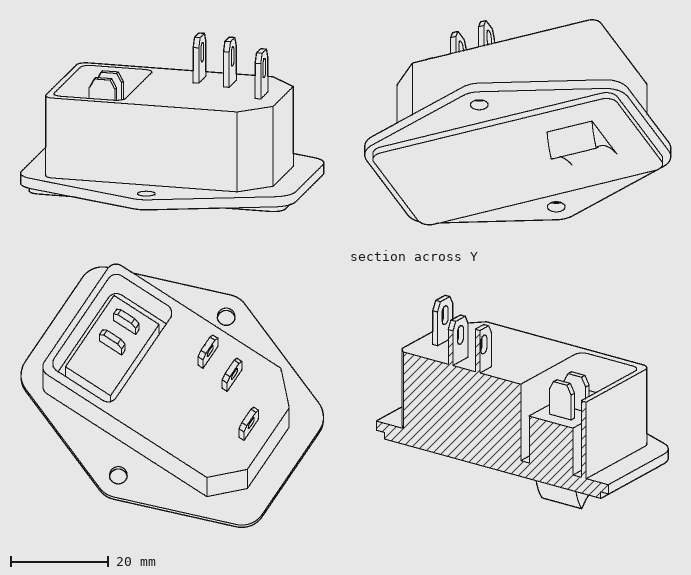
import cadquery as cq
import math


flange_length = 58.2
flange_width = 49.3
flange_thickness = 2.15
flange_corner_radius = 5.0
flange_slope = math.radians(20.5)
screw_hole_diameter = 3.6
screw_hole_spacing = 40.0

lip_length = 54.25
lip_width = 27.95
lip_thickness = 1.45
lip_corner_radius = 2.5

housing_length = 47.15
housing_width = 27.5
housing_height = 17.0
housing_corner_radius = 2.0
housing_chamfer = 6.0

switch_x = -14.7
pocket_length = 15.15
pocket_width = 24.0
pocket_corner_radius = 2.0
switch_body_length = 11.05
switch_body_width = 18.0
switch_body_recess = 6.6

rocker_length = 10.0
rocker_depth = 5.35
rocker_tip_y = 5.25
rocker_back_y = 7.45
rocker_back_bulge = 0.35
rocker_end_y = -5.4
rocker_face_middle = (-0.2, -1.4)

blade_width = 5.45
blade_thickness = 1.2
blade_tip_inset = 1.05
blade_tip_height = 1.9
inlet_blade_height = 9.4
inlet_blade_centers = [(3.65, 7.7), (10.5, 6.35), (19.05, -0.35)]
switch_blade_rise = 0.9
switch_blade_y = [5.2, 0.0]
eyelet_width = 2.1
eyelet_length = 4.0
eyelet_top_gap = 1.6

flange_top = lip_thickness + flange_thickness
housing_top = flange_top + housing_height
switch_body_top = housing_top - switch_body_recess


def make_flange():
    point_y = flange_width / 2 + flange_corner_radius * (1 / math.cos(flange_slope) - 1)
    side_x = flange_length / 2
    side_y = point_y - side_x * math.tan(flange_slope)
    corners = [
        (0, point_y),
        (side_x, side_y),
        (side_x, -side_y),
        (0, -point_y),
        (-side_x, -side_y),
        (-side_x, side_y),
    ]
    return (
        cq.Workplane("XY", origin=(0, 0, lip_thickness))
        .polyline(corners)
        .close()
        .extrude(flange_thickness)
        .edges("|Z")
        .fillet(flange_corner_radius)
        .faces(">Z")
        .workplane()
        .rarray(0.6, screw_hole_spacing, 1, 2)
        .hole(screw_hole_diameter)
    )


def make_lip():
    return (
        cq.Workplane("XY")
        .rect(lip_length, lip_width)
        .extrude(lip_thickness)
        .edges("|Z")
        .fillet(lip_corner_radius)
    )


def make_housing():
    housing = cq.Workplane("XY", origin=(0, 0, flange_top)).rect(housing_length, housing_width)
    housing = housing.extrude(housing_height)
    housing = housing.edges("|Z and <X").fillet(housing_corner_radius)
    housing = housing.edges("|Z and >X").chamfer(housing_chamfer)
    pocket = (
        cq.Workplane("XY", origin=(switch_x, 0, flange_top))
        .rect(pocket_length, pocket_width)
        .extrude(housing_height)
        .edges("|Z")
        .fillet(pocket_corner_radius)
    )
    return housing.cut(pocket)


def make_switch_body():
    return (
        cq.Workplane("XY", origin=(switch_x, 0, flange_top))
        .rect(switch_body_length, switch_body_width)
        .extrude(switch_body_top - flange_top)
    )


def make_rocker():
    tip = (rocker_tip_y, -rocker_depth)
    back = (rocker_back_y, 0)
    back_middle = ((rocker_tip_y + rocker_back_y) / 2 + rocker_back_bulge, -rocker_depth / 2)
    return (
        cq.Workplane("YZ", origin=(switch_x, 0, 0))
        .moveTo(rocker_end_y, 0)
        .threePointArc(rocker_face_middle, tip)
        .threePointArc(back_middle, back)
        .close()
        .extrude(rocker_length / 2, both=True)
    )


def make_blade(height):
    """Blade standing on the origin, wide along Y and thin along X, with a tapered tip."""
    half_width = blade_width / 2
    half_tip = half_width - blade_tip_inset
    shoulder = height - blade_tip_height
    outline = [
        (-half_width, 0),
        (half_width, 0),
        (half_width, shoulder),
        (half_tip, height),
        (-half_tip, height),
        (-half_width, shoulder),
    ]
    return cq.Workplane("YZ").polyline(outline).close().extrude(blade_thickness / 2, both=True)


def make_inlet_blade():
    eyelet_z = inlet_blade_height - eyelet_top_gap - eyelet_length / 2
    eyelet = (
        cq.Workplane("YZ", origin=(0, 0, eyelet_z))
        .slot2D(eyelet_length, eyelet_width, 90)
        .extrude(blade_thickness, both=True)
    )
    return make_blade(inlet_blade_height).cut(eyelet)


def make_switch_blade():
    blade = make_blade(switch_body_recess + switch_blade_rise)
    return blade.rotate((0, 0, 0), (0, 0, 1), 90)


result = make_flange().union(make_lip()).union(make_housing())
result = result.union(make_switch_body()).union(make_rocker())

for x, y in inlet_blade_centers:
    result = result.union(make_inlet_blade().translate((x, y, housing_top)))

for y in switch_blade_y:
    result = result.union(make_switch_blade().translate((switch_x, y, switch_body_top)))